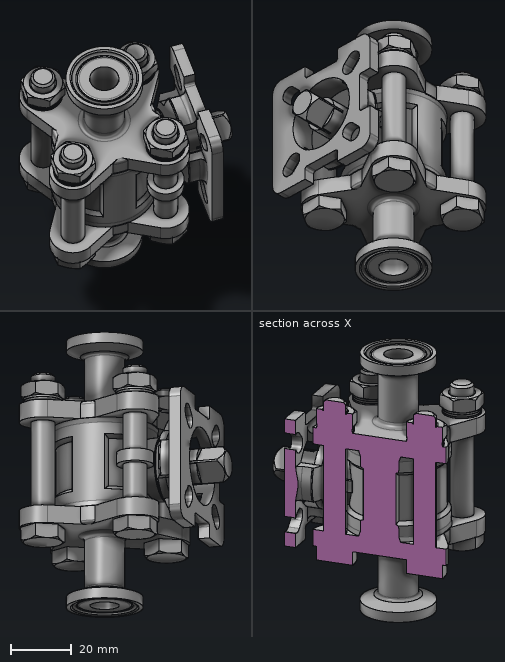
import cadquery as cq
import math

TOTAL_LENGTH = 90.7
STEM_TIP_Y = 43.0

FERRULE_DIA = 25.4
FERRULE_THICK = 3.6
FERRULE_CONE_HEIGHT = 2.2
NECK_FILLET_HEIGHT = 0.5
TUBE_DIA = 13.4
BORE_DIA = 9.6
FOOT_FILLET = 1.9
SEAL_INNER_RADIUS = 8.3
SEAL_OUTER_RADIUS = 11.3
SEAL_LIP = 0.6
SEAL_LIP_DEPTH = 0.35
SEAL_DEPTH = 1.5
SEAL_FACE_DEPTH = 0.65
SEAL_STEP_WIDTH = 1.1
SEAL_DIP_DEPTH = 0.18

FLANGE_INNER_Z = 15.0
FLANGE_THICK = 6.0
FLANGE_OUTER_Z = FLANGE_INNER_Z + FLANGE_THICK
BODY_DIA = 35.0
HUB_FILLET = 1.1
RIM_FLARE = 0.25
RIM_HEIGHT = 1.7
BOLT_OFFSET = 16.05
ARM_RADIUS = 47.77 / 2 - BOLT_OFFSET
ARM_SIDE_ANGLE = 30
POCKET_HALF_HEIGHT = 9.4
POCKET_DEPTH = 1.3
POCKET_WALL_SLOPE = 1.3
RIB_HALF_WIDTH = 5.6
RIB_FLARE = 0.8
STOP_BAR_HALF_LENGTH = 11.5
STOP_BAR_NEAR_Y = 11.8
STOP_BAR_FAR_Y = 17.0

ROD_DIA = 8.0
ROD_TIP_Z = 31.4
ROD_CHAMFER = 0.8
HEX_ACROSS_FLATS = 13.0
NUT_HEIGHT = 4.85
HEAD_HEIGHT = 4.8
HEX_EDGE_HEIGHT = 0.6
COUNTERSINK_DIA = 9.0
WASHER_DIA = 13.0
SPRING_WASHER_DIA = 12.7
WASHER_THICK = 0.5
SPRING_WASHER_THICK = 0.8
NUT_COLLAR_THICK = 0.7
ROD_COLLAR_DIA = 12.2
STOP_HEIGHT = 4.13

PAD_OUTER_Y = 34.0
PAD_INNER_Y = 30.0
PAD_HALF_WIDTH = 22.55
PAD_CORNER_RADIUS = 4.1
NOTCH_HALF_WIDTH = 7.45
NOTCH_FLOOR = 17.7
NOTCH_FILLET = 1.0
SLOT_DIA = 5.6
SLOT_NEAR = 12.73
SLOT_FAR = 14.85
CUP_OUTER_RADIUS = 15.8
CUP_BORE_DIA = 26.0
CUP_FLOOR_Y = 25.2
CUP_FILLET = 1.9
CUP_CONE_TOP_Y = 24.1
CUP_CONE_BASE_Y = 21.35
CUP_LIP = 0.2
CUP_LIP_TOP_Y = 24.6
CUP_NECK_DIA = 21.8
GLAND_DIA = 21.2
GLAND_TOP_Y = 20.9
LEG_HALF_WIDTH = 6.0
LEG_GAP_FLOOR_Y = 22.4
STEM_DIA = 11.8
STEM_SQUARE = 9.0
STEM_CORNER_DIA = 12.16
STEM_TIP_DIA = 8.6


def disc(diameter, z_low, height):
    return cq.Workplane("XY").workplane(offset=z_low).circle(diameter / 2).extrude(height)


def y_disc(diameter, y_low, y_high):
    return cq.Workplane("XZ", origin=(0, y_low, 0)).circle(diameter / 2).extrude(y_low - y_high)


def make_flange():
    """Four rounded arms joined to a round hub, on the upper side."""
    side_angle = math.radians(ARM_SIDE_ANGLE)
    across = ARM_RADIUS * math.cos(side_angle)
    along = ARM_RADIUS * math.sin(side_angle)
    side_offset = BOLT_OFFSET * (math.cos(side_angle) - math.sin(side_angle)) + ARM_RADIUS
    waist = side_offset / math.cos(side_angle)
    tip = BOLT_OFFSET + ARM_RADIUS / math.sqrt(2)
    arm = (
        cq.Workplane("XY").workplane(offset=FLANGE_INNER_Z)
        .lineTo(waist, 0)
        .lineTo(BOLT_OFFSET + across, BOLT_OFFSET - along)
        .threePointArc((tip, tip), (BOLT_OFFSET - along, BOLT_OFFSET + across))
        .lineTo(0, waist)
        .close()
        .extrude(FLANGE_THICK)
    )
    flange = disc(BODY_DIA, FLANGE_INNER_Z, FLANGE_THICK).faces(">Z").edges().fillet(HUB_FILLET)
    for turn in range(4):
        flange = flange.union(arm.rotate((0, 0, 0), (0, 0, 1), 90 * turn))
    return flange


def make_pipe_end():
    """Solid tube with a clamp ferrule and a seal groove, on the upper side."""
    tip = TOTAL_LENGTH / 2
    tube = TUBE_DIA / 2
    rim = FERRULE_DIA / 2
    cone_top = tip - FERRULE_THICK
    cone_base = cone_top - FERRULE_CONE_HEIGHT
    cone_run = (rim - tube) * NECK_FILLET_HEIGHT / FERRULE_CONE_HEIGHT
    foot_mid = FOOT_FILLET * (1 - math.sqrt(0.5))
    groove_outer = SEAL_OUTER_RADIUS - SEAL_LIP
    groove_inner = SEAL_INNER_RADIUS + SEAL_STEP_WIDTH
    groove_mid = (groove_outer + groove_inner) / 2
    seal_face = tip - SEAL_FACE_DEPTH
    profile = (
        cq.Workplane("XZ")
        .moveTo(0, FLANGE_OUTER_Z)
        .lineTo(tube + FOOT_FILLET, FLANGE_OUTER_Z)
        .threePointArc((tube + foot_mid, FLANGE_OUTER_Z + foot_mid), (tube, FLANGE_OUTER_Z + FOOT_FILLET))
        .lineTo(tube, cone_base - NECK_FILLET_HEIGHT)
        .tangentArcPoint((tube + cone_run, cone_base + NECK_FILLET_HEIGHT), relative=False)
        .lineTo(rim, cone_top)
        .lineTo(rim, tip)
        .lineTo(SEAL_OUTER_RADIUS, tip)
        .lineTo(groove_outer, tip - SEAL_LIP_DEPTH)
        .threePointArc((groove_mid, tip - SEAL_DEPTH), (groove_inner, seal_face))
        .lineTo(SEAL_INNER_RADIUS + SEAL_LIP, seal_face - SEAL_DIP_DEPTH)
        .lineTo(SEAL_INNER_RADIUS, seal_face)
        .lineTo(0, seal_face)
        .close()
    )
    return profile.revolve(360, (0, 0, 0), (0, 1, 0))


def make_body():
    """Round body with flared rims and a sunk band between two side ribs."""
    outer = BODY_DIA / 2
    flared = outer + RIM_FLARE
    rim_z = FLANGE_INNER_Z - RIM_HEIGHT
    body = (
        cq.Workplane("XZ")
        .polyline([
            (0, -FLANGE_INNER_Z), (flared, -FLANGE_INNER_Z), (outer, -rim_z),
            (outer, rim_z), (flared, FLANGE_INNER_Z), (0, FLANGE_INNER_Z),
        ])
        .close()
        .revolve(360, (0, 0, 0), (0, 1, 0))
    )
    floor = outer - POCKET_DEPTH
    floor_z = POCKET_HALF_HEIGHT - POCKET_WALL_SLOPE
    beyond_z = POCKET_HALF_HEIGHT + POCKET_WALL_SLOPE
    beyond = outer + POCKET_DEPTH
    ring = (
        cq.Workplane("XZ")
        .polyline([
            (floor, -floor_z), (floor, floor_z), (beyond, beyond_z), (beyond, -beyond_z),
        ])
        .close()
        .revolve(360, (0, 0, 0), (0, 1, 0))
    )
    top_y = RIB_HALF_WIDTH
    foot_y = RIB_HALF_WIDTH + RIB_FLARE
    top_x = math.sqrt(outer**2 - top_y**2)
    foot_x = math.sqrt(floor**2 - foot_y**2)
    far_x = 2 * top_x - foot_x
    far_y = 2 * top_y - foot_y
    rib = (
        cq.Workplane("XY").workplane(offset=-FLANGE_INNER_Z)
        .polyline([
            (-far_x, -far_y), (-foot_x, -foot_y), (foot_x, -foot_y), (far_x, -far_y),
            (far_x, far_y), (foot_x, foot_y), (-foot_x, foot_y), (-far_x, far_y),
        ])
        .close()
        .extrude(2 * FLANGE_INNER_Z)
    )
    return body.cut(ring.cut(rib))


def make_hexagon(z_low, height, round_bottom, round_top):
    """Hexagon centred on Z whose corners are turned down to a cone at the chosen ends."""
    corner = HEX_ACROSS_FLATS / math.sqrt(3)
    flat = HEX_ACROSS_FLATS / 2
    z_high = z_low + height
    bottom_radius = flat if round_bottom else corner
    top_radius = flat if round_top else corner
    turned = (
        cq.Workplane("XZ")
        .polyline([
            (0, z_low), (bottom_radius, z_low), (corner, z_low + HEX_EDGE_HEIGHT),
            (corner, z_high - HEX_EDGE_HEIGHT), (top_radius, z_high), (0, z_high),
        ])
        .close()
        .revolve(360, (0, 0, 0), (0, 1, 0))
    )
    hexagon = cq.Workplane("XY").workplane(offset=z_low).polygon(6, 2 * corner).extrude(height)
    return hexagon.intersect(turned)


def make_bolt():
    """Rod with head, washers and nut, centred on the Z axis."""
    washer_top = FLANGE_OUTER_Z + WASHER_THICK
    spring_top = washer_top + SPRING_WASHER_THICK
    nut_z = spring_top + NUT_COLLAR_THICK
    nut_top = nut_z + NUT_HEIGHT
    sink_depth = (COUNTERSINK_DIA - ROD_DIA) / 2
    countersink = (
        cq.Workplane("XZ")
        .polyline([
            (0, nut_top - sink_depth), (ROD_DIA / 2, nut_top - sink_depth),
            (COUNTERSINK_DIA / 2, nut_top), (0, nut_top),
        ])
        .close()
        .revolve(360, (0, 0, 0), (0, 1, 0))
    )
    bolt = make_hexagon(nut_z, NUT_HEIGHT, True, True).cut(countersink)
    bolt = bolt.union(make_hexagon(-FLANGE_OUTER_Z - HEAD_HEIGHT, HEAD_HEIGHT, True, False))
    bolt = bolt.union(disc(WASHER_DIA, FLANGE_OUTER_Z, WASHER_THICK))
    bolt = bolt.union(disc(SPRING_WASHER_DIA, washer_top, SPRING_WASHER_THICK))
    bolt = bolt.union(disc(WASHER_DIA, spring_top, NUT_COLLAR_THICK))
    rod = disc(ROD_DIA, -FLANGE_OUTER_Z, FLANGE_OUTER_Z + ROD_TIP_Z).faces(">Z").chamfer(ROD_CHAMFER)
    return bolt.union(rod)


def make_mounting_pad():
    """Square actuator pad with three edge notches and four diagonal slots."""
    width = 2 * PAD_HALF_WIDTH
    pad = (
        cq.Workplane("XZ", origin=(0, PAD_INNER_Y, 0))
        .rect(width, width)
        .extrude(PAD_INNER_Y - PAD_OUTER_Y)
        .edges("|Y").fillet(PAD_CORNER_RADIUS)
    )
    notch_depth = PAD_HALF_WIDTH - NOTCH_FLOOR
    notch = (
        cq.Workplane("XY")
        .box(2 * NOTCH_HALF_WIDTH, PAD_OUTER_Y - PAD_INNER_Y, 2 * notch_depth)
        .edges("|Y").fillet(NOTCH_FILLET)
        .translate((0, (PAD_OUTER_Y + PAD_INNER_Y) / 2, PAD_HALF_WIDTH))
    )
    for angle in (0, 180, -90):
        pad = pad.cut(notch.rotate((0, 0, 0), (0, 1, 0), angle))
    slot_centre = (SLOT_NEAR + SLOT_FAR) / math.sqrt(2)
    slot_length = (SLOT_FAR - SLOT_NEAR) * math.sqrt(2) + SLOT_DIA
    slot = (
        cq.Workplane("XZ", origin=(0, PAD_INNER_Y, 0))
        .center(slot_centre, 0)
        .slot2D(slot_length, SLOT_DIA)
        .extrude(PAD_INNER_Y - PAD_OUTER_Y)
    )
    for turn in range(4):
        pad = pad.cut(slot.rotate((0, 0, 0), (0, 1, 0), 45 + 90 * turn))
    return pad


def make_cup():
    """Conical cup between body and pad, opened into four legs, without its bore."""
    neck = CUP_NECK_DIA / 2
    gland = GLAND_DIA / 2
    lip = CUP_OUTER_RADIUS + CUP_LIP
    fillet_y = PAD_INNER_Y - CUP_FILLET
    fillet_mid = CUP_FILLET * (1 - math.sqrt(0.5))
    cup = (
        cq.Workplane("XY")
        .lineTo(gland, 0)
        .lineTo(gland, GLAND_TOP_Y)
        .lineTo(neck, GLAND_TOP_Y)
        .lineTo(neck, CUP_CONE_BASE_Y)
        .lineTo(lip, CUP_CONE_TOP_Y)
        .lineTo(lip, CUP_LIP_TOP_Y)
        .lineTo(CUP_OUTER_RADIUS, CUP_LIP_TOP_Y)
        .lineTo(CUP_OUTER_RADIUS, fillet_y)
        .threePointArc(
            (CUP_OUTER_RADIUS + fillet_mid, PAD_INNER_Y - fillet_mid),
            (CUP_OUTER_RADIUS + CUP_FILLET, PAD_INNER_Y),
        )
        .lineTo(0, PAD_INNER_Y)
        .close()
        .revolve(360, (0, 0, 0), (0, 1, 0))
    )
    reach = CUP_OUTER_RADIUS + CUP_FILLET - LEG_HALF_WIDTH
    centre = LEG_HALF_WIDTH + reach / 2
    gaps = (
        cq.Workplane("XZ", origin=(0, LEG_GAP_FLOOR_Y, 0))
        .rect(2 * centre, 2 * centre, forConstruction=True)
        .vertices()
        .rect(reach, reach)
        .extrude(LEG_GAP_FLOOR_Y - PAD_INNER_Y)
    )
    return cup.cut(gaps.cut(y_disc(CUP_BORE_DIA, 0, PAD_OUTER_Y)))


def make_stem():
    """Round stem ending in a square with a turned tip."""
    corner = STEM_CORNER_DIA / 2
    tip = STEM_TIP_DIA / 2
    turned = (
        cq.Workplane("XY")
        .polyline([
            (0, PAD_INNER_Y), (corner, PAD_INNER_Y), (corner, STEM_TIP_Y - corner + tip),
            (tip, STEM_TIP_Y), (0, STEM_TIP_Y),
        ])
        .close()
        .revolve(360, (0, 0, 0), (0, 1, 0))
    )
    square = (
        cq.Workplane("XZ", origin=(0, PAD_INNER_Y, 0))
        .transformed(rotate=(0, 0, 45))
        .rect(STEM_SQUARE, STEM_SQUARE)
        .extrude(PAD_INNER_Y - STEM_TIP_Y)
    )
    return square.intersect(turned).union(y_disc(STEM_DIA, 0, PAD_OUTER_Y))


cup_bore = y_disc(CUP_BORE_DIA, CUP_FLOOR_Y, PAD_OUTER_Y)
actuator_mount = make_mounting_pad().union(make_cup())
actuator_mount = actuator_mount.cut(cup_bore)
result = make_body().union(actuator_mount).union(make_stem())

end = make_flange().union(make_pipe_end())
result = result.union(end).union(end.mirror("XY"))

bolt = make_bolt()
for x in (-BOLT_OFFSET, BOLT_OFFSET):
    for y in (-BOLT_OFFSET, BOLT_OFFSET):
        result = result.union(bolt.translate((x, y, 0)))

stop_bar = (
    cq.Workplane("XY")
    .box(2 * STOP_BAR_HALF_LENGTH, STOP_BAR_FAR_Y - STOP_BAR_NEAR_Y, STOP_HEIGHT)
    .translate((0, (STOP_BAR_FAR_Y + STOP_BAR_NEAR_Y) / 2, 0))
)
result = result.union(stop_bar)
rod_collar = disc(ROD_COLLAR_DIA, -STOP_HEIGHT / 2, STOP_HEIGHT)
result = result.union(rod_collar.translate((BOLT_OFFSET, BOLT_OFFSET, 0)))

result = result.cut(disc(BORE_DIA, -TOTAL_LENGTH / 2, TOTAL_LENGTH))